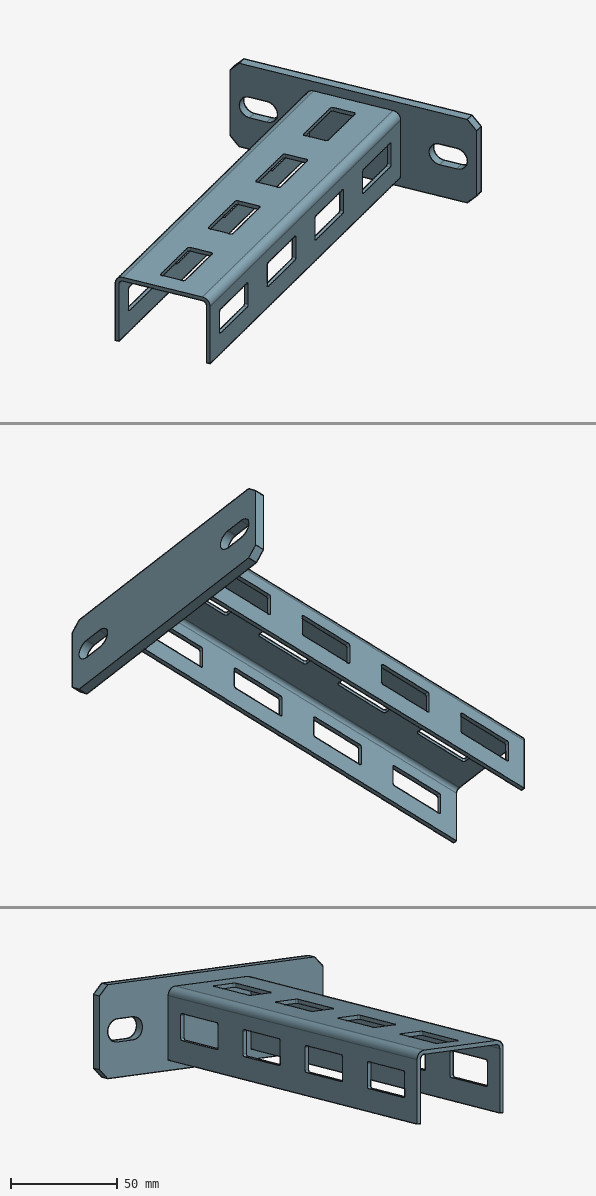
import cadquery as cq


overall_length = 205.0

plate_width = 130.0
plate_height = 45.0
plate_thickness = 5.0
plate_corner_chamfer = 5.0

fixing_slot_length = 20.0
fixing_slot_height = 11.0
fixing_slot_edge_gap = 5.0
fixing_slot_x = plate_width / 2 - fixing_slot_edge_gap - fixing_slot_length / 2

channel_length = overall_length - plate_thickness
channel_width = 50.0
channel_height = 35.0
sheet_thickness = 2.0
outer_bend_radius = 4.0
inner_bend_radius = outer_bend_radius - sheet_thickness

window_count = 4
window_length = 30.0
window_width = 13.0
window_pitch = 50.0
window_corner_radius = 1.0


def make_plate():
    """Flat plate with chamfered corners and two horizontal fixing slots."""
    plate = (
        cq.Workplane("XY")
        .box(plate_width, plate_thickness, plate_height)
        .translate((0, plate_thickness / 2, 0))
        .edges("|Y")
        .chamfer(plate_corner_chamfer)
    )
    fixing_slots = (
        cq.Workplane("XZ")
        .pushPoints([(-fixing_slot_x, 0), (fixing_slot_x, 0)])
        .slot2D(fixing_slot_length, fixing_slot_height)
        .extrude(-plate_thickness)
    )
    return plate.cut(fixing_slots)


def make_bent_sheet():
    """Plain U-channel with two rounded bends along its top edges."""
    outside = (
        cq.Workplane("XZ")
        .rect(channel_width, channel_height)
        .extrude(channel_length)
        .edges("|Y and >Z")
        .fillet(outer_bend_radius)
    )
    inside = (
        cq.Workplane("XZ")
        .center(0, -sheet_thickness)
        .rect(channel_width - 2 * sheet_thickness, channel_height)
        .extrude(channel_length)
        .edges("|Y and >Z")
        .fillet(inner_bend_radius)
    )
    return outside.cut(inside)


def make_window_cutters(y):
    """Cutters for the windows at one station: one through the top, one through both sides."""
    top_cutter = (
        cq.Workplane("XY")
        .box(window_width, window_length, channel_height, centered=(True, True, False))
        .edges("|Z")
        .fillet(window_corner_radius)
    )
    side_cutter = (
        cq.Workplane("XY")
        .box(channel_width, window_length, window_width)
        .edges("|X")
        .fillet(window_corner_radius)
    )
    return [cutter.translate((0, y, 0)) for cutter in (top_cutter, side_cutter)]


def make_channel():
    """U-channel with its rows of windows centred along the length."""
    channel = make_bent_sheet()
    for index in range(window_count):
        offset_from_middle = (index - (window_count - 1) / 2) * window_pitch
        for cutter in make_window_cutters(offset_from_middle - channel_length / 2):
            channel = channel.cut(cutter)
    return channel


plate = make_plate()
channel = make_channel()

result = cq.Compound.makeCompound([plate.solids().val(), channel.solids().val()])